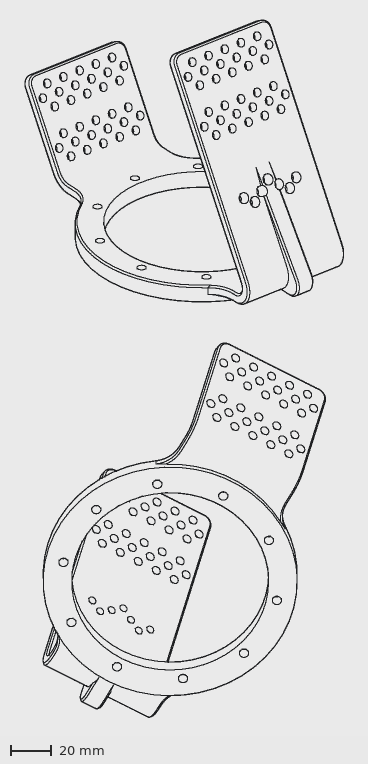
import cadquery as cq
import math

RING_RADIUS = 62.0
BORE_RADIUS = 48.0
RING_HEIGHT = 9.0
BOLT_CIRCLE_RADIUS = 53.0
BOLT_HOLE_DIAMETER = 4.5
BOLT_COUNT = 10

THICKNESS = 5.5
STRIP_WIDTH = 60.0
NECK_RADIUS = 15.0
NECK_END_GAP = 0.1
TIP_RADIUS = 5.0
CHAMFER = 1.0
ARM_ANGLE = math.radians(60)

LEFT_END_X = -104.3
LEFT_BEND_RADIUS = 7.5
LEFT_ARM_LENGTH = 53.6
RIGHT_CORNER_X = 72.6
RIGHT_BEND_RADIUS = 5.0
RIGHT_ARM_LENGTH = 125.7

PERFORATION_DIAMETER = 4.3
PERFORATION_PITCH = 10.0
ROW_SPACING = 6.0
BAND_SPACING = 25.7
TIP_TO_FIRST_BAND = 12.5
MIDDLE_ROW_COUNT = 6

GUSSET_WIDTH = 10.0
GUSSET_ANGLE = math.radians(55.7)
GUSSET_CORNER_RADIUS = 7.5
GUSSET_END_X = 82.0
GUSSET_SLOPE_LENGTH = 90.3

ZIGZAG_INNER_DIAMETER = 3.7
ZIGZAG_OUTER_DIAMETER = 5.4
ZIGZAG_PITCH = 5.4
ZIGZAG_DISTANCE = 47.7
ZIGZAG_STEPS = (4.3, 0, -3.7, 0)

PLATE_BOTTOM = RING_HEIGHT - THICKNESS
PIN_LENGTH = 18.6
COS_ARM = math.cos(ARM_ANGLE)
SIN_ARM = math.sin(ARM_ANGLE)
LEFT_CORNER_X = LEFT_END_X + (LEFT_ARM_LENGTH - CHAMFER) * COS_ARM + THICKNESS * SIN_ARM


def arm_point(corner_x, along, across=0.0):
    """XZ point at a distance up the arm, shifted square to it toward +X by `across`."""
    return (
        corner_x - along * COS_ARM + across * SIN_ARM,
        RING_HEIGHT + along * SIN_ARM + across * COS_ARM,
    )


def edges_along_y(x, z):
    """Selector for the long edge across the strip at an XZ point."""
    reach = 0.2
    return cq.selectors.BoxSelector(
        (x - reach, -reach, z - reach), (x + reach, reach, z + reach)
    )


def bent_strip():
    left_inner = (LEFT_CORNER_X, RING_HEIGHT)
    left_outer = (LEFT_CORNER_X - THICKNESS * math.tan(ARM_ANGLE / 2), PLATE_BOTTOM)
    right_inner = (RIGHT_CORNER_X, RING_HEIGHT)
    right_outer = (RIGHT_CORNER_X + THICKNESS / math.tan(ARM_ANGLE / 2), PLATE_BOTTOM)
    strip = (
        cq.Workplane("XZ")
        .polyline([
            left_inner,
            arm_point(LEFT_CORNER_X, LEFT_ARM_LENGTH),
            arm_point(LEFT_CORNER_X, LEFT_ARM_LENGTH, -THICKNESS),
            left_outer,
            right_outer,
            arm_point(RIGHT_CORNER_X, RIGHT_ARM_LENGTH, THICKNESS),
            arm_point(RIGHT_CORNER_X, RIGHT_ARM_LENGTH),
            right_inner,
        ])
        .close()
        .extrude(STRIP_WIDTH / 2, both=True)
    )
    for corner, radius in (
        (left_inner, LEFT_BEND_RADIUS),
        (left_outer, LEFT_BEND_RADIUS + THICKNESS),
        (right_inner, RIGHT_BEND_RADIUS),
        (right_outer, RIGHT_BEND_RADIUS + THICKNESS),
    ):
        strip = strip.edges(edges_along_y(*corner)).fillet(radius)
    tip_corners = cq.selectors.ParallelDirSelector(cq.Vector(SIN_ARM, 0, COS_ARM))
    return strip.edges(tip_corners).fillet(TIP_RADIUS)


def arms_with_necks():
    """Both arms with chamfered rims and rounded necks, ending where the necks touch the ring."""
    disc = cq.Workplane("XY", origin=(0, 0, PLATE_BOTTOM)).circle(RING_RADIUS).extrude(THICKNESS)
    body = bent_strip().union(disc)
    meeting_x = math.sqrt(RING_RADIUS**2 - (STRIP_WIDTH / 2) ** 2)
    neck_edges = cq.selectors.BoxSelector(
        (-meeting_x - 1.9, -STRIP_WIDTH, 0), (meeting_x + 1.9, STRIP_WIDTH, RING_HEIGHT)
    )
    body = body.edges("|Z").edges(neck_edges).fillet(NECK_RADIUS)
    for z in (RING_HEIGHT, PLATE_BOTTOM):
        rim_arc = cq.selectors.NearestToPointSelector((0, RING_RADIUS, z))
        body = body.edges(rim_arc).chamfer(CHAMFER)
    neck_centre_distance = RING_RADIUS + NECK_RADIUS
    neck_centre_x = math.sqrt(neck_centre_distance**2 - (STRIP_WIDTH / 2 + NECK_RADIUS) ** 2)
    neck_end_x = neck_centre_x * RING_RADIUS / neck_centre_distance + NECK_END_GAP
    middle = cq.Workplane("XY").box(2 * neck_end_x, 3 * RING_RADIUS, 3 * RING_HEIGHT)
    return body.cut(middle)


def gusset():
    foot_x = GUSSET_END_X - GUSSET_CORNER_RADIUS + GUSSET_CORNER_RADIUS / math.tan(GUSSET_ANGLE / 2)
    foot = (foot_x, PLATE_BOTTOM)
    top = (
        foot_x - GUSSET_SLOPE_LENGTH * math.cos(GUSSET_ANGLE),
        PLATE_BOTTOM + GUSSET_SLOPE_LENGTH * math.sin(GUSSET_ANGLE),
    )
    arm_corner = (RIGHT_CORNER_X, RING_HEIGHT)
    front = (RIGHT_CORNER_X - RIGHT_BEND_RADIUS / math.tan(ARM_ANGLE / 2), PLATE_BOTTOM)
    body = (
        cq.Workplane("XZ")
        .polyline([foot, top, arm_corner, front])
        .close()
        .extrude(GUSSET_WIDTH / 2, both=True)
    )
    body = body.edges(edges_along_y(*foot)).fillet(GUSSET_CORNER_RADIUS)
    return body.faces("<Z").edges("|X").chamfer(CHAMFER)


def arm_pins(corner_x, points, diameter, start, taper=0):
    """Hole cutters square to an arm at (y, distance up the arm) points. They run toward +X
    from `start`, measured from the arm's bend-side face, widening if the taper is negative."""
    face = cq.Plane(
        origin=(corner_x, 0, RING_HEIGHT), xDir=(0, 1, 0), normal=(SIN_ARM, 0, COS_ARM)
    )
    return (
        cq.Workplane(face)
        .workplane(offset=start)
        .pushPoints(points)
        .circle(diameter / 2)
        .extrude(PIN_LENGTH, taper=taper)
    )


def perforation_points(arm_length):
    points = []
    for band in range(2):
        middle = arm_length - TIP_TO_FIRST_BAND - band * BAND_SPACING
        for row in (-1, 0, 1):
            count = MIDDLE_ROW_COUNT - abs(row)
            for i in range(count):
                y = (i - (count - 1) / 2) * PERFORATION_PITCH
                points.append((y, middle + row * ROW_SPACING))
    return points


def perforation(corner_x, arm_length):
    points = perforation_points(arm_length)
    return arm_pins(corner_x, points, PERFORATION_DIAMETER, -PIN_LENGTH / 2)


def zigzag_points():
    last = len(ZIGZAG_STEPS) - 1
    return [
        (i * ZIGZAG_PITCH, ZIGZAG_DISTANCE + ZIGZAG_STEPS[abs(i)])
        for i in range(-last, last + 1)
    ]


def zigzag():
    widening = (ZIGZAG_OUTER_DIAMETER - ZIGZAG_INNER_DIAMETER) / 2
    taper = -math.degrees(math.atan(widening / THICKNESS))
    return arm_pins(RIGHT_CORNER_X, zigzag_points(), ZIGZAG_INNER_DIAMETER, 0, taper)


def ring_openings():
    bore = cq.Workplane("XY").circle(BORE_RADIUS).extrude(RING_HEIGHT)
    bolt_holes = (
        cq.Workplane("XY")
        .polarArray(BOLT_CIRCLE_RADIUS, 0, 360, BOLT_COUNT)
        .circle(BOLT_HOLE_DIAMETER / 2)
        .extrude(RING_HEIGHT)
    )
    return bore.union(bolt_holes)


ring = cq.Workplane("XY").circle(RING_RADIUS).extrude(RING_HEIGHT).faces(">Z").chamfer(CHAMFER)
result = (
    ring.union(arms_with_necks())
    .union(gusset())
    .cut(ring_openings())
    .cut(perforation(LEFT_CORNER_X, LEFT_ARM_LENGTH))
    .cut(perforation(RIGHT_CORNER_X, RIGHT_ARM_LENGTH))
    .cut(zigzag())
)